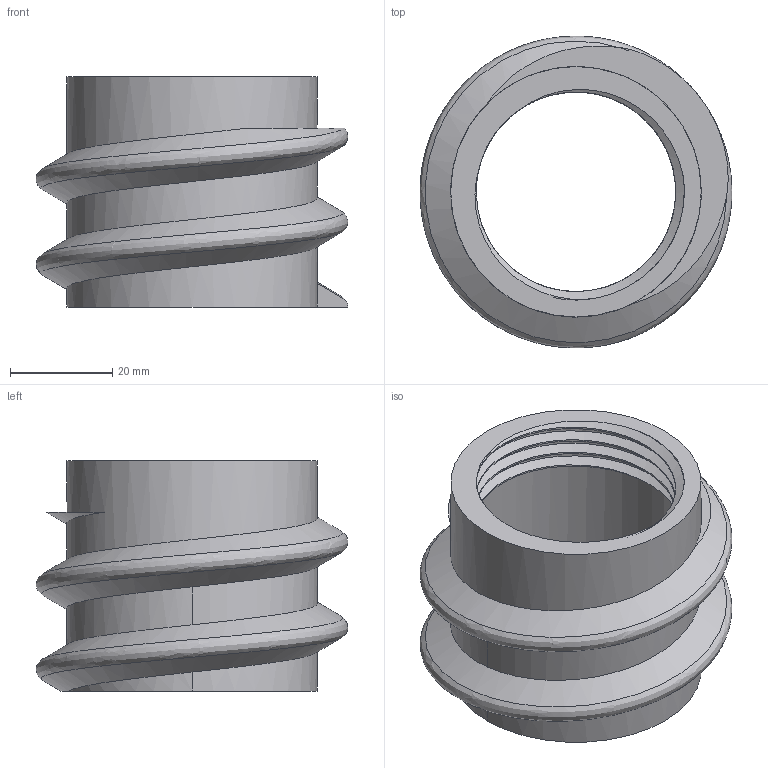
import cadquery as cq
import math

TUBE_HEIGHT = 45.0
TUBE_RADIUS = 49.0 / 2
LOWER_BORE_RADIUS = 42.0 / 2
SEAM_ANGLE = 180

OUTER_THREAD_TOP = 35.0
OUTER_PITCH = 50.0 / 3
OUTER_TURNS = 2.5
OUTER_CREST_RADIUS = 61.0 / 2
CREST_ROUNDING = 2.0
OUTER_FLANK_ANGLE = math.radians(30)

INNER_THREAD_DEPTH = 10.0
INNER_THREAD_BOTTOM = TUBE_HEIGHT - INNER_THREAD_DEPTH
INNER_PITCH = 3.0
INNER_ROOT_RADIUS = 42.35 / 2
INNER_CREST_RADIUS = 39.0 / 2
INNER_ROOT_FLAT = INNER_PITCH / 4
INNER_FLANK_ANGLE = math.radians(30)
INNER_GROOVE_ANGLE = -155.5

OVERLAP = 0.2


def cylinder(radius, bottom, top):
    """A cylinder about Z between two heights."""
    return cq.Workplane("XY").workplane(offset=bottom).circle(radius).extrude(top - bottom)


def sweep_helix(profile, pitch, height, radius):
    """Sweep an XZ-plane profile along a right-handed helix about Z."""
    path = cq.Workplane(obj=cq.Wire.makeHelix(pitch, height, radius))
    return profile.sweep(path, isFrenet=True)


def make_outer_thread():
    rounding_center = OUTER_CREST_RADIUS - CREST_ROUNDING
    tangent_radius = rounding_center + CREST_ROUNDING * math.sin(OUTER_FLANK_ANGLE)
    tangent_height = CREST_ROUNDING * math.cos(OUTER_FLANK_ANGLE)
    base_radius = TUBE_RADIUS - OVERLAP
    base_height = tangent_height + (tangent_radius - base_radius) * math.tan(OUTER_FLANK_ANGLE)
    profile = (
        cq.Workplane("XZ")
        .moveTo(base_radius, -base_height)
        .lineTo(tangent_radius, -tangent_height)
        .threePointArc((OUTER_CREST_RADIUS, 0), (tangent_radius, tangent_height))
        .lineTo(base_radius, base_height)
        .close()
    )
    rib = sweep_helix(profile, OUTER_PITCH, OUTER_PITCH * OUTER_TURNS, TUBE_RADIUS)
    return rib.intersect(cylinder(OUTER_CREST_RADIUS + OVERLAP, 0, OUTER_THREAD_TOP))


def make_inner_groove():
    """The spiral groove between the turns of the inner thread."""
    root_half = INNER_ROOT_FLAT / 2
    open_radius = INNER_CREST_RADIUS - OVERLAP
    open_half = root_half + (INNER_ROOT_RADIUS - open_radius) * math.tan(INNER_FLANK_ANGLE)
    profile = cq.Workplane("XZ").polyline([
        (open_radius, -open_half),
        (INNER_ROOT_RADIUS, -root_half),
        (INNER_ROOT_RADIUS, root_half),
        (open_radius, open_half),
    ]).close()
    groove = sweep_helix(profile, INNER_PITCH, INNER_THREAD_DEPTH + 2 * INNER_PITCH, INNER_ROOT_RADIUS)
    groove = groove.translate((0, 0, INNER_THREAD_BOTTOM - INNER_PITCH))
    groove = groove.rotate((0, 0, 0), (0, 0, 1), INNER_GROOVE_ANGLE)
    return groove.intersect(cylinder(TUBE_RADIUS, INNER_THREAD_BOTTOM, TUBE_HEIGHT))


def make_tube():
    tube = cylinder(TUBE_RADIUS, 0, TUBE_HEIGHT)
    tube = tube.cut(cylinder(LOWER_BORE_RADIUS, 0, INNER_THREAD_BOTTOM))
    tube = tube.cut(cylinder(INNER_CREST_RADIUS, INNER_THREAD_BOTTOM, TUBE_HEIGHT))
    return tube.rotate((0, 0, 0), (0, 0, 1), SEAM_ANGLE)


result = make_tube().cut(make_inner_groove()).union(make_outer_thread())